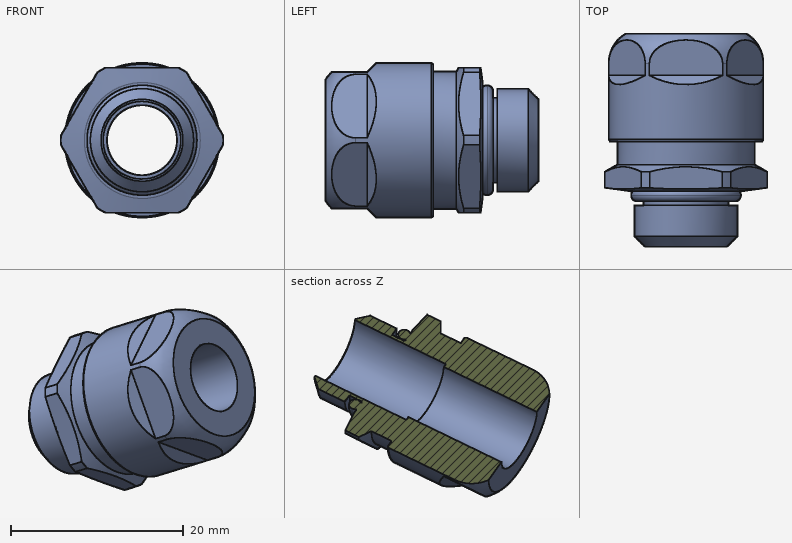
import cadquery as cq
import math

overall_length = 24.8

entry_bore_diameter = 9.03
cable_bore_diameter = 8.1

thread_diameter = 12.0
thread_end = 4.84
tip_chamfer = 1.25
neck_diameter = 9.92
ring_section_radius = 0.72
ring_center_y = 6.0

flange_face = 6.5
flange_face_diameter = 13.5
flange_edge_start = 6.87
flange_edge_end = 8.73
flange_corner_diameter = 18.9
flange_across_flats = 16.9
flange_bevel_angle = 30.0

body_diameter = 16.0

nut_start = 12.25
nut_diameter = 18.0
nut_chamfer_height = 0.25
nut_chamfer_inset = 0.15
nut_dome_start = 21.33
nut_end_diameter = 14.04
nut_across_flats = 15.87
nut_flats_start = 19.95


def turned(profile):
    """Revolve a closed (radius, y) outline a full turn about the Y axis."""
    return profile.close().revolve(360, (0, 0, 0), (0, 1, 0))


def cylinder(diameter, start, end):
    """Round bar along Y between two positions."""
    return turned(
        cq.Workplane("XY").moveTo(0, start).lineTo(diameter / 2, start)
        .lineTo(diameter / 2, end).lineTo(0, end)
    )


def hexagon_bar(across_flats, start, end):
    """Hexagonal bar along Y with two corners on the X axis."""
    across_corners = across_flats / math.cos(math.radians(30))
    return (
        cq.Workplane("XZ", origin=(0, start, 0))
        .polygon(6, across_corners).extrude(start - end)
    )


def threaded_end():
    radius = thread_diameter / 2
    thread = turned(
        cq.Workplane("XY").lineTo(radius - tip_chamfer, 0).lineTo(radius, tip_chamfer)
        .lineTo(radius, thread_end).lineTo(0, thread_end)
    )
    return thread.union(cylinder(neck_diameter, tip_chamfer, flange_edge_start))


def sealing_ring():
    ring_center_radius = neck_diameter / 2 + ring_section_radius
    section = cq.Workplane("XY").center(ring_center_radius, ring_center_y).circle(ring_section_radius)
    return section.revolve(360, (-ring_center_radius, 0, 0), (-ring_center_radius, 1, 0))


def flange():
    """Hexagon with its corners rounded off and both faces bevelled."""
    edge = flange_corner_diameter / 2
    body = body_diameter / 2
    bevel_end = flange_edge_end + (edge - body) * math.tan(math.radians(flange_bevel_angle))
    blank = turned(
        cq.Workplane("XY").moveTo(0, flange_face).lineTo(flange_face_diameter / 2, flange_face)
        .lineTo(edge, flange_edge_start).lineTo(edge, flange_edge_end)
        .lineTo(body, bevel_end).lineTo(0, bevel_end)
    )
    return blank.intersect(hexagon_bar(flange_across_flats, flange_face, bevel_end))


def cap_nut():
    """Domed nut with six flats that run out on 45 degree shoulders."""
    radius = nut_diameter / 2
    end_radius = nut_end_diameter / 2
    dome_inset = radius - end_radius
    dome_height = overall_length - nut_dome_start
    dome_radius = (dome_inset**2 + dome_height**2) / (2 * dome_inset)
    half_angle = math.asin(dome_height / dome_radius) / 2
    dome_middle = (
        radius - dome_radius * (1 - math.cos(half_angle)),
        nut_dome_start + dome_radius * math.sin(half_angle),
    )
    nut = turned(
        cq.Workplane("XY").moveTo(0, nut_start).lineTo(radius - nut_chamfer_inset, nut_start)
        .lineTo(radius, nut_start + nut_chamfer_height).lineTo(radius, nut_dome_start)
        .threePointArc(dome_middle, (end_radius, overall_length)).lineTo(0, overall_length)
    )

    flat = nut_across_flats / 2
    shoulder = nut_diameter - flat
    flat_cut = (
        cq.Workplane("YZ").moveTo(nut_flats_start, flat)
        .lineTo(overall_length, flat).lineTo(overall_length, nut_diameter)
        .lineTo(nut_flats_start - shoulder, nut_diameter).close()
        .extrude(nut_diameter / 2, both=True)
    )
    for side in range(6):
        nut = nut.cut(flat_cut.rotate((0, 0, 0), (0, 1, 0), 60 * side))
    return nut


result = (
    threaded_end()
    .union(sealing_ring())
    .union(flange())
    .union(cylinder(body_diameter, flange_edge_end, nut_start))
    .union(cap_nut())
    .cut(cylinder(cable_bore_diameter, 0, overall_length))
    .cut(cylinder(entry_bore_diameter, 0, nut_start))
)